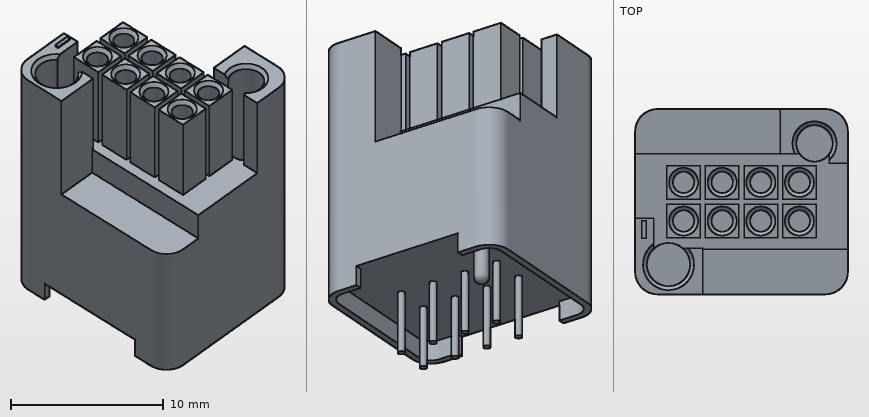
import cadquery as cq

LENGTH = 14.0
WIDTH = 12.2
TOP_Z = 18.4
TOWER_BASE_Z = 12.23
SHOULDER_Z = 10.2
CORNER_RADIUS = 1.5
DECK_HALF_WIDTH = 3.14

PITCH = 2.54
COLUMNS = 4
ROWS = 2
TOWER_SIDE = 2.2
SOCKET_DIAMETER = 1.4
MOUTH_CHAMFER = 0.25

POST_INNER_X = 2.54
POST_ARM_X = 5.76
FRONT_POST_Y = -3.05
FRONT_ARM_Y = -1.08
BACK_ARM_Y = 2.54

GUIDE_HOLE_X = 4.8
FRONT_GUIDE_Y = -4.13
FRONT_GUIDE_DIAMETER = 2.84
BACK_GUIDE_Y = 3.83
BACK_GUIDE_DIAMETER = 2.39

RECESS_DEPTH = 1.42
RECESS_WALL = 0.5
PIN_DIAMETER = 0.5
PIN_END_Z = -3.0
PEG_DIAMETER = 1.0
PEG_X = -4.45
PEG_Y = 3.93
PEG_END_Z = -1.5

MARK_X = -6.4
MARK_Y = -1.83
MARK_LENGTH = 1.16
MARK_WIDTH = 0.28
MARK_HEIGHT = 0.09

HALF_LENGTH = LENGTH / 2
HALF_WIDTH = WIDTH / 2
NOTCH_LENGTH = (COLUMNS - 1) * PITCH + PIN_DIAMETER
CONTACT_POINTS = [
    ((column - (COLUMNS - 1) / 2) * PITCH, (row - (ROWS - 1) / 2) * PITCH)
    for row in range(ROWS)
    for column in range(COLUMNS)
]


def block(x_range, y_range, z_range):
    """Box spanning the given ranges."""
    (x0, x1), (y0, y1), (z0, z1) = x_range, y_range, z_range
    return cq.Workplane("XY").box(x1 - x0, y1 - y0, z1 - z0, centered=False).translate((x0, y0, z0))


def chamfered_bore(x, y, diameter, floor_z):
    """Cutter for a blind round hole with a chamfered mouth at the top plane."""
    radius = diameter / 2
    profile = (
        cq.Workplane("XZ")
        .moveTo(0, floor_z)
        .lineTo(radius, floor_z)
        .lineTo(radius, TOP_Z - MOUTH_CHAMFER)
        .lineTo(radius + MOUTH_CHAMFER, TOP_Z)
        .lineTo(0, TOP_Z)
        .close()
    )
    return profile.revolve(360, (0, 0, 0), (0, 1, 0)).translate((x, y, 0))


def make_upper_shape():
    """Everything that stands above the shoulders, before the corners are rounded."""
    deck_y = (-DECK_HALF_WIDTH, DECK_HALF_WIDTH)
    deck = block((-HALF_LENGTH, HALF_LENGTH), deck_y, (SHOULDER_Z, TOWER_BASE_Z))
    post_z = (SHOULDER_Z, TOP_Z)
    front_post = block((-HALF_LENGTH, -POST_INNER_X), (-HALF_WIDTH, FRONT_POST_Y), post_z)
    front_arm = block((-HALF_LENGTH, -POST_ARM_X), (-HALF_WIDTH, FRONT_ARM_Y), post_z)
    back_post = block((POST_INNER_X, HALF_LENGTH), (DECK_HALF_WIDTH, HALF_WIDTH), post_z)
    back_arm = block((POST_ARM_X, HALF_LENGTH), (BACK_ARM_Y, HALF_WIDTH), post_z)
    return deck.union(front_post).union(front_arm).union(back_post).union(back_arm)


def make_underside_recess():
    """Cutter for the recess inside the bottom rim and the notches through its long walls."""
    inner_x = HALF_LENGTH - RECESS_WALL
    inner_y = HALF_WIDTH - RECESS_WALL
    depth = (0, RECESS_DEPTH)
    pocket = block((-inner_x, inner_x), (-inner_y, inner_y), depth)
    pocket = pocket.edges("|Z").fillet(CORNER_RADIUS - RECESS_WALL)
    notch = block((-NOTCH_LENGTH / 2, NOTCH_LENGTH / 2), (-HALF_WIDTH, HALF_WIDTH), depth)
    return pocket.union(notch)


def make_locating_peg():
    """Round peg with a hemispherical tip, hanging from the recess ceiling."""
    radius = PEG_DIAMETER / 2
    tip_center_z = PEG_END_Z + radius
    shank = cq.Workplane("XY").workplane(offset=tip_center_z).circle(radius)
    shank = shank.extrude(RECESS_DEPTH - tip_center_z)
    tip = cq.Workplane("XY").sphere(radius).translate((0, 0, tip_center_z))
    peg = shank.union(tip)
    return peg.translate((PEG_X, PEG_Y, 0))


def make_housing():
    """Housing with its guide posts, contact towers, underside recess, peg and mark."""
    base = block((-HALF_LENGTH, HALF_LENGTH), (-HALF_WIDTH, HALF_WIDTH), (0, SHOULDER_Z))
    rounded_envelope = (
        cq.Workplane("XY").rect(LENGTH, WIDTH).extrude(TOP_Z).edges("|Z").fillet(CORNER_RADIUS)
    )
    housing = base.union(make_upper_shape()).intersect(rounded_envelope)

    towers = (
        cq.Workplane("XY")
        .workplane(offset=TOWER_BASE_Z)
        .pushPoints(CONTACT_POINTS)
        .rect(TOWER_SIDE, TOWER_SIDE)
        .extrude(TOP_Z - TOWER_BASE_Z)
    )
    housing = housing.union(towers)
    for x, y in CONTACT_POINTS:
        housing = housing.cut(chamfered_bore(x, y, SOCKET_DIAMETER, TOWER_BASE_Z))

    housing = housing.cut(chamfered_bore(-GUIDE_HOLE_X, FRONT_GUIDE_Y, FRONT_GUIDE_DIAMETER, SHOULDER_Z))
    housing = housing.cut(chamfered_bore(GUIDE_HOLE_X, BACK_GUIDE_Y, BACK_GUIDE_DIAMETER, SHOULDER_Z))

    housing = housing.cut(make_underside_recess()).union(make_locating_peg())

    mark = cq.Workplane("XY").box(MARK_WIDTH, MARK_LENGTH, MARK_HEIGHT, centered=(True, True, False))
    return housing.union(mark.translate((MARK_X, MARK_Y, TOP_Z)))


def make_pin(x, y):
    """Solder pin standing against the recess ceiling."""
    pin = cq.Workplane("XY").workplane(offset=PIN_END_Z).center(x, y).circle(PIN_DIAMETER / 2)
    return pin.extrude(RECESS_DEPTH - PIN_END_Z)


housing = make_housing()
pins = [make_pin(x, y) for x, y in CONTACT_POINTS]

result = cq.Compound.makeCompound([housing.val(), *[pin.val() for pin in pins]])